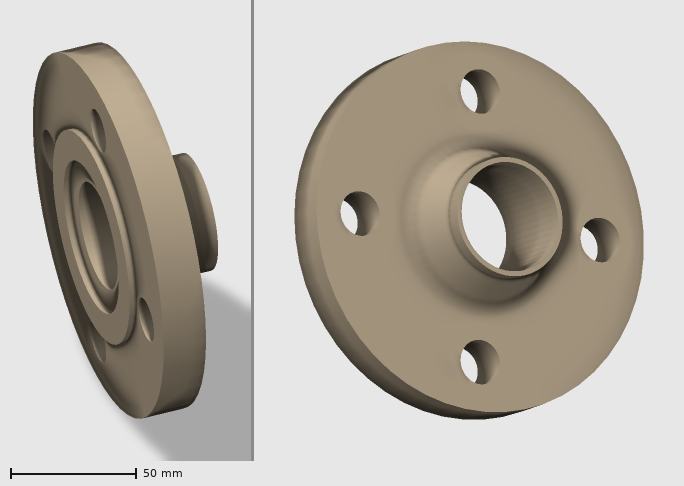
import cadquery as cq

flange_diameter = 150.0
flange_thickness = 18.0
total_length = 45.0

face_diameter = 88.0
face_height = 3.0
recess_diameter = 63.0
recess_depth = 3.0

neck_diameter = 48.3
neck_length = 7.0
hub_base_diameter = 65.5
hub_fillet_radius = 6.0
bore_diameter = 44.2

bolt_circle_diameter = 110.0
bolt_hole_diameter = 18.0
bolt_hole_count = 4

flange_front = face_height
flange_back = flange_front + flange_thickness
cone_end = total_length - neck_length


def cylinder(diameter, start, end):
    """Solid cylinder about the Y axis between two Y positions."""
    plane = cq.Workplane("XZ", origin=(0, start, 0))
    return plane.circle(diameter / 2).extrude(start - end)


def body_of_revolution():
    """Flange plate and tapered neck, with the neck root filleted."""
    profile = (
        cq.Workplane("XY")
        .moveTo(0, flange_front)
        .lineTo(flange_diameter / 2, flange_front)
        .lineTo(flange_diameter / 2, flange_back)
        .lineTo(hub_base_diameter / 2, flange_back)
        .lineTo(neck_diameter / 2, cone_end)
        .lineTo(neck_diameter / 2, total_length)
        .lineTo(0, total_length)
        .close()
    )
    body = profile.revolve(360, (0, 0, 0), (0, 1, 0))
    return body.faces("%CONE").edges("<Y").fillet(hub_fillet_radius)


def bolt_holes():
    """Cutters for the bolt holes, evenly spaced with the first on the X axis."""
    return (
        cq.Workplane("XZ")
        .polarArray(bolt_circle_diameter / 2, 0, 360, bolt_hole_count)
        .circle(bolt_hole_diameter / 2)
        .extrude(-flange_back)
    )


result = (
    body_of_revolution()
    .union(cylinder(face_diameter, 0, flange_front))
    .cut(cylinder(recess_diameter, 0, recess_depth))
    .cut(cylinder(bore_diameter, 0, total_length))
    .cut(bolt_holes())
)